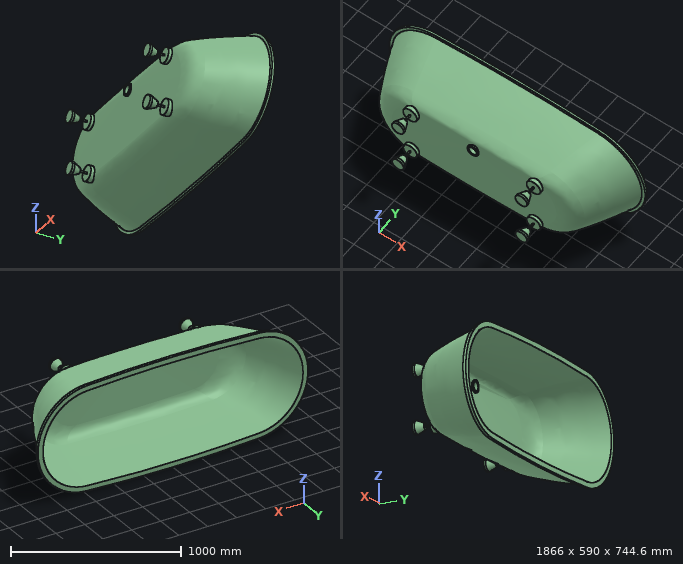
import cadquery as cq


rim_half_length = 933.0
rim_half_width = 372.3
rim_thickness = 19.0
rim_overhang = 17.0
rim_crown = 17.0
wall = 19.0

shell_half_length = rim_half_length - rim_overhang
shell_half_width = rim_half_width - rim_overhang

crease_half_length = 748.0
crease_half_width = 270.0
crease_crown = 10.0
crease_depth = 365.0
wall_bulge = 7.0

floor_half_length = 599.0
floor_half_width = 207.0
floor_center_z = 10.0
floor_crown = 7.0
floor_depth = 445.0
floor_fall = 7.0
corner_half_length = 710.0
corner_half_width = 248.0
corner_steps = 5

drain_z = 170.0
drain_diameter = 78.0
drain_bore = 56.0
drain_end_depth = 459.0

foot_x = 450.0
foot_z = 175.0
pad_diameter = 100.0
pad_start_depth = 410.0
pad_end_depth = 468.0
rod_diameter = 11.0
cone_start_depth = 522.0
cone_end_depth = 575.0
cone_neck_diameter = 41.0
foot_diameter = 85.0
foot_end_depth = 590.0


def outline(half_length, half_width, crown, depth, center_z=0.0):
    """Closed oval wire: round ends tangent to gently bulging long sides."""
    end_radius = half_width - crown
    end_center = half_length - end_radius
    side_radius = (end_center ** 2 + half_width ** 2 - end_radius ** 2) / (2 * crown)
    reach = side_radius / (side_radius - end_radius)
    x = end_center * reach
    z = (side_radius - half_width) * (reach - 1)
    return (
        cq.Workplane("XZ", origin=(0, -depth, center_z))
        .moveTo(-x, z)
        .threePointArc((0, half_width), (x, z))
        .threePointArc((half_length, 0), (x, -z))
        .threePointArc((0, -half_width), (-x, -z))
        .threePointArc((-half_length, 0), (-x, z))
        .close()
        .val()
    )


def bezier(start, control, end, t):
    """Point on a quadratic curve at parameter t."""
    return (1 - t) ** 2 * start + 2 * t * (1 - t) * control + t ** 2 * end


def tub_form(inset):
    """Solid tub shape, drawn in by the inset on its sides and floor."""
    floor_level = floor_depth - inset
    top = outline(shell_half_length - inset, shell_half_width - inset, rim_crown, 0)
    middle = outline(
        (shell_half_length + crease_half_length) / 2 + wall_bulge - inset,
        (shell_half_width + crease_half_width) / 2 + wall_bulge - inset,
        (rim_crown + crease_crown) / 2,
        crease_depth / 2,
    )
    corner = []
    for step in range(corner_steps + 1):
        t = step / corner_steps
        corner.append(
            outline(
                bezier(crease_half_length, corner_half_length, floor_half_length, t) - inset,
                bezier(crease_half_width, corner_half_width, floor_half_width, t) - inset,
                bezier(crease_crown, crease_crown, floor_crown, t),
                bezier(crease_depth, floor_level, floor_level, t),
                bezier(0, 0, floor_center_z, t),
            )
        )

    drain_scale = drain_bore / 2 / floor_half_length
    drain_oval = outline(
        floor_half_length * drain_scale,
        floor_half_width * drain_scale,
        floor_crown * drain_scale,
        floor_level + floor_fall,
        drain_z,
    )
    side = cq.Solid.makeLoft([top, middle, corner[0]])
    rounded_corner = cq.Solid.makeLoft(corner)
    floor = cq.Solid.makeLoft([corner[-1], drain_oval], True)
    return cq.Workplane(side).union(cq.Workplane(rounded_corner)).union(cq.Workplane(floor))


def cylinder(x, z, diameter, start_depth, end_depth):
    """Round bar along Y between two depths."""
    return (
        cq.Workplane("XZ", origin=(x, -start_depth, z))
        .circle(diameter / 2)
        .extrude(end_depth - start_depth)
    )


def foot(x, z):
    """Mounting pad, threaded-rod shank and flared foot."""
    pad = cylinder(x, z, pad_diameter, pad_start_depth, pad_end_depth)
    rod = cylinder(x, z, rod_diameter, pad_end_depth, cone_start_depth)
    cone = (
        cq.Workplane("XZ", origin=(x, -cone_start_depth, z))
        .circle(cone_neck_diameter / 2)
        .workplane(offset=cone_end_depth - cone_start_depth)
        .circle(foot_diameter / 2)
        .loft()
    )
    sole = cylinder(x, z, foot_diameter, cone_end_depth, foot_end_depth)
    return pad.union(rod).union(cone).union(sole)


def make_tub():
    """Open shell with its rim flange, four feet and the drain hole."""
    rim_wire = outline(rim_half_length, rim_half_width, rim_crown, 0)
    rim = cq.Workplane(cq.Solid.extrudeLinear(rim_wire, [], cq.Vector(0, -rim_thickness, 0)))
    tub = tub_form(0).union(rim)
    for x in (-foot_x, foot_x):
        for z in (-foot_z, foot_z):
            tub = tub.union(foot(x, z))
    drain_hole = cylinder(0, drain_z, drain_diameter, crease_depth, drain_end_depth)
    return tub.cut(tub_form(wall)).cut(drain_hole)


def make_drain():
    """Drain ring seated in the floor hole and standing slightly proud of it."""
    start_depth = floor_depth - wall
    ring = cylinder(0, drain_z, drain_diameter, start_depth, drain_end_depth)
    bore = cylinder(0, drain_z, drain_bore, start_depth, drain_end_depth)
    return ring.cut(bore)


tub = make_tub()
drain = make_drain()

result = cq.Compound.makeCompound([tub.solids().val(), drain.solids().val()])